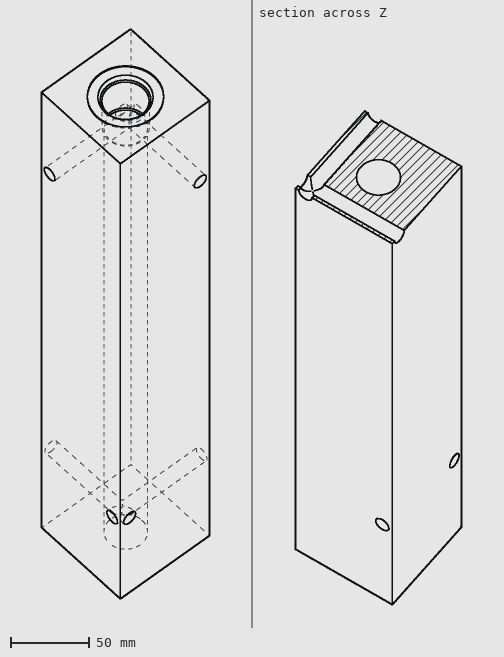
import cadquery as cq
import math

length = 463.5
width = 76.0

seat_diameter = 48.5
seat_depth = 1.0
cone_mouth_diameter = 35.0
cone_foot_diameter = 32.5
cone_depth = 3.2
port_bore_diameter = 30.0
port_bore_depth = 32.5
lead_in_angle = 60
drill_point_angle = 59

bore_diameter = 28.0

cross_hole_diameter = 10.0
cross_hole_offset = 30.0
cross_hole_end_distance = 79.3

top = length / 2
bottom = -length / 2
cross_hole_height = top - cross_hole_end_distance


def cone_height(large_diameter, small_diameter, angle):
    """Axial height of a cone whose wall leans by the angle (degrees) from its axis."""
    return (large_diameter - small_diameter) / 2 / math.tan(math.radians(angle))


def axial_bore():
    """Port and bore as one solid, revolved about the bar axis."""
    seat_floor = top - seat_depth
    cone_foot = seat_floor - cone_depth
    lead_in_foot = cone_foot - cone_height(cone_foot_diameter, port_bore_diameter, lead_in_angle)
    port_floor = top - port_bore_depth
    drill_point_foot = port_floor - cone_height(port_bore_diameter, bore_diameter, drill_point_angle)
    return (
        cq.Workplane("YZ")
        .moveTo(0, bottom)
        .lineTo(bore_diameter / 2, bottom)
        .lineTo(bore_diameter / 2, drill_point_foot)
        .lineTo(port_bore_diameter / 2, port_floor)
        .lineTo(port_bore_diameter / 2, lead_in_foot)
        .lineTo(cone_foot_diameter / 2, cone_foot)
        .lineTo(cone_mouth_diameter / 2, seat_floor)
        .lineTo(seat_diameter / 2, seat_floor)
        .lineTo(seat_diameter / 2, top)
        .lineTo(0, top)
        .close()
        .revolve(360, (0, 0, 0), (0, 1, 0))
    )


def cross_holes(plane, upper_side):
    """Two through holes normal to the plane; the upper one lies on the given side (+1 or -1)."""
    centers = [
        (level * upper_side * cross_hole_offset, level * cross_hole_height)
        for level in (1, -1)
    ]
    return (
        cq.Workplane(plane)
        .pushPoints(centers)
        .circle(cross_hole_diameter / 2)
        .extrude(width / 2, both=True)
    )


bar = cq.Workplane("XY").box(width, width, length)
result = (
    bar.cut(axial_bore())
    .cut(cross_holes("XZ", -1))
    .cut(cross_holes("YZ", 1))
)